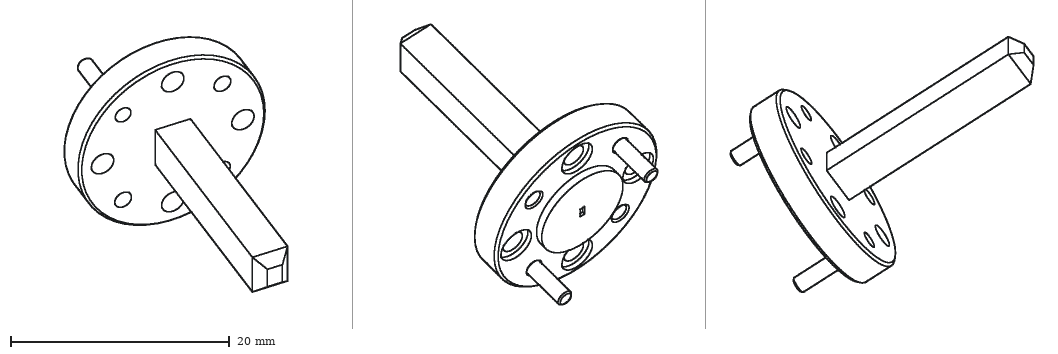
import cadquery as cq
import math


guide_width = 0.546
guide_height = 1.092
guide_wall = 1.524
probe_width = guide_width + 2 * guide_wall
probe_height = guide_height + 2 * guide_wall
probe_tip_x = 25.4
probe_taper = 1.035
guide_depth = 0.3

flange_diameter = 19.05
flange_chamfer = 0.26
boss_diameter = 9.525
boss_height = 0.76
flange_back_x = 4.14

hole_circle_radius = 7.144
screw_hole_diameter = 2.26
counterbore_diameter = 3.57
counterbore_depth = 0.5
screw_angles = (0, 90, 180, 270)
alignment_angles = (45, 225)
alignment_hole_diameter = 1.7
alignment_hole_chamfer = 0.18

pin_diameter = 1.5875
pin_tip_chamfer = 0.15
pin_tip_x = -3.87
pin_hole_chamfer = 0.1
pin_angles = (135, 315)


def x_cylinder(diameter, start_x, end_x, angle=None):
    """Cylinder along X, on the flange axis or at an angle on the hole circle."""
    radius = 0 if angle is None else hole_circle_radius
    turn = math.radians(angle or 0)
    return (
        cq.Workplane("YZ", origin=(start_x, 0, 0))
        .center(radius * math.cos(turn), radius * math.sin(turn))
        .circle(diameter / 2)
        .extrude(end_x - start_x)
    )


def chamfered_hole(diameter, chamfer, angle):
    """Cutter through the flange that widens at 45 degrees at the front face."""
    hole = x_cylinder(diameter, boss_height, flange_back_x, angle)
    mouth = (
        hole.faces("<X")
        .workplane(invert=True)
        .circle(diameter / 2 + chamfer)
        .extrude(chamfer, taper=45, combine=False)
    )
    return hole.union(mouth)


def make_probe():
    shank = (
        cq.Workplane("YZ", origin=(flange_back_x, 0, 0))
        .rect(probe_width, probe_height)
        .extrude(probe_tip_x - flange_back_x)
    )
    return shank.faces(">X").chamfer(probe_taper)


def make_flange():
    disc = x_cylinder(flange_diameter, boss_height, flange_back_x).edges().chamfer(flange_chamfer)
    boss = x_cylinder(boss_diameter, 0, boss_height)
    flange = disc.union(boss).union(make_probe())

    for angle in screw_angles:
        screw_hole = x_cylinder(screw_hole_diameter, boss_height, flange_back_x, angle)
        counterbore = x_cylinder(counterbore_diameter, boss_height, boss_height + counterbore_depth, angle)
        flange = flange.cut(screw_hole).cut(counterbore)

    for angle in alignment_angles:
        flange = flange.cut(chamfered_hole(alignment_hole_diameter, alignment_hole_chamfer, angle))

    for angle in pin_angles:
        flange = flange.cut(chamfered_hole(pin_diameter, pin_hole_chamfer, angle))

    guide = cq.Workplane("YZ").rect(guide_width, guide_height).extrude(guide_depth)
    return flange.cut(guide)


def make_pin(angle):
    """Dowel pin, flush with the back of the flange."""
    return x_cylinder(pin_diameter, pin_tip_x, flange_back_x, angle).faces("<X").chamfer(pin_tip_chamfer)


flange = make_flange()
pins = [make_pin(angle) for angle in pin_angles]
result = cq.Compound.makeCompound([flange.val(), *(pin.val() for pin in pins)])